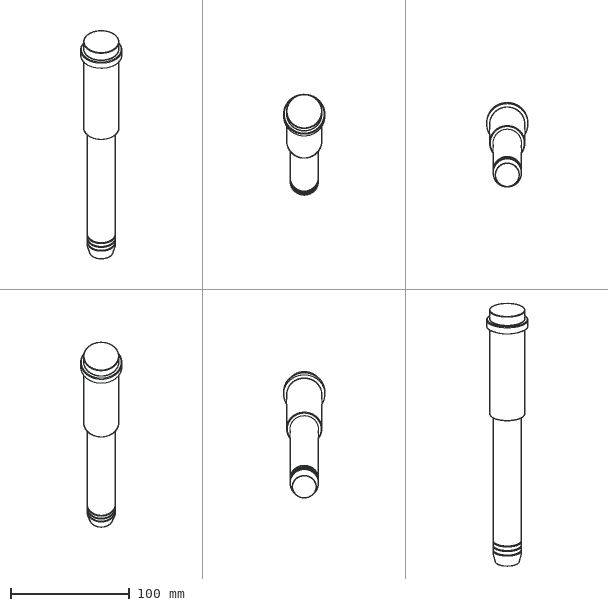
import cadquery as cq

total_length = 230.0
body_radius = 15.0
shank_radius = 12.0
collar_radius = 17.5
tip_radius = 10.1

bottom = -total_length / 2
top = total_length / 2

shoulder_z = top - 95.5
shoulder_chamfer = 0.7
top_chamfer = 0.5

collar_top = top - 8.5
collar_bottom = top - 14.7
collar_chamfer = 0.7
upper_relief_width = 0.5
lower_relief_width = 1.2
relief_depth = 0.2

tip_length = 7.1
tip_chamfer = 0.2
groove_width = 1.0
groove_depth = 0.2
groove_pitch = 4.1
groove_count = 3
first_groove_z = bottom + tip_length + 3.0

groove_clearance = 2.3


def cylinder(radius, z_low, z_high):
    return cq.Workplane("XY").workplane(offset=z_low).circle(radius).extrude(z_high - z_low)


def ring_groove(radius, depth, z_low, width):
    outer = cylinder(radius + groove_clearance, z_low, z_low + width)
    return outer.cut(cylinder(radius - depth, z_low, z_low + width))


def make_tip():
    tip = (
        cq.Workplane("XY").workplane(offset=bottom).circle(tip_radius)
        .workplane(offset=tip_length).circle(shank_radius).loft(ruled=True)
    )
    return tip.faces("<Z").chamfer(tip_chamfer)


def make_shank():
    shank = cylinder(shank_radius, bottom + tip_length, shoulder_z)
    for index in range(groove_count):
        groove_z = first_groove_z + index * groove_pitch
        shank = shank.cut(ring_groove(shank_radius, groove_depth, groove_z, groove_width))
    return shank


def make_body():
    body = cylinder(body_radius, shoulder_z, top).faces("<Z").chamfer(shoulder_chamfer)
    body = body.faces(">Z").chamfer(top_chamfer)
    upper_relief = ring_groove(body_radius, relief_depth, collar_top, upper_relief_width)
    lower_relief_z = collar_bottom - lower_relief_width
    lower_relief = ring_groove(body_radius, relief_depth, lower_relief_z, lower_relief_width)
    return body.cut(upper_relief).cut(lower_relief)


def make_collar():
    return cylinder(collar_radius, collar_bottom, collar_top).faces(">Z").edges().chamfer(collar_chamfer)


result = make_tip().union(make_shank()).union(make_body()).union(make_collar())